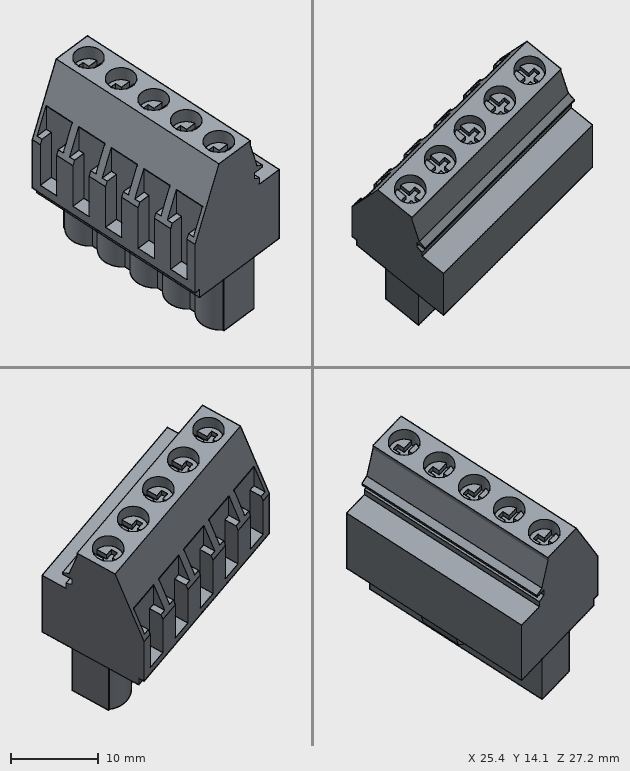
import cadquery as cq


POLES = 5
LENGTH = 25.4
PITCH = LENGTH / POLES
POLE_CENTRES = [(i - (POLES - 1) / 2) * PITCH for i in range(POLES)]

DEPTH = 14.1
HEIGHT = 27.2
BASE_Z = 8.38
STEP_Y = 0.73
STEP_Z = 9.63
SLOPE_Z = 17.27
TOP_FRONT_Y = 4.0
TOP_BACK_Y = 9.25
SHELF_Z = 19.25

REAR_SLOPE_TOP_Z = 26.55
REAR_SLOPE_FOOT_Y = 10.35
REAR_SLOPE_FOOT_Z = 22.45
LIP_Y = 11.25
LIP_TOP_Z = 21.95
LIP_BOTTOM_Z = 21.62
NOTCH_Y = 9.98
NOTCH_BOTTOM_Z = 20.67
NECK_Y = 10.8
NECK_TOP_Z = 20.2

PLUG_HALF_LENGTH = 12.5
PLUG_BACK_Y = 10.06
PLUG_FLAT_Y = 5.03
PLUG_FRONT_Y = 4.08
SOCKET_WIDTH = 4.35

ENTRY_DEPTH = 1.82
ENTRY_TOP_Z = 21.68
ENTRY_SHOULDER_Z = 17.95
ENTRY_BOTTOM_Z = 10.88
ENTRY_WIDE = 4.08
ENTRY_NARROW = 2.53

LATCH_WIDTH = PITCH
LATCH_BACK_Y = 13.45
LATCH_ROOT_Y = 11.37
LATCH_STEM_Y = 11.8
LATCH_STEM_TOP_Z = 7.24
LATCH_STEM_BOTTOM_Z = 5.4
LATCH_BEND = (12.85, 5.17)
LATCH_TIP = (11.42, 3.78)
LATCH_BARB = (11.07, 4.73)
LATCH_BARB_CREST = (11.4, 5.2)
LATCH_STRAIGHT = 0.63

SCREW_Y = 6.7
SCREW_DIAMETER = 3.6
SCREW_RECESS = 1.9
SCREW_LENGTH = 2.72
SCREW_TOP_Z = HEIGHT - SCREW_RECESS
CROSS_DEPTH = 0.82
LONG_SLOT_WIDTH = 0.63
SHORT_SLOT_WIDTH = 0.82
SHORT_SLOT_LENGTH = 2.48


def box(x_size, y_range, z_range, x_centre=0.0):
    """Block centred on x_centre that spans the given Y and Z ranges."""
    y_size = y_range[1] - y_range[0]
    z_size = z_range[1] - z_range[0]
    corner = (x_centre - x_size / 2, y_range[0], z_range[0])
    return cq.Workplane("XY").box(x_size, y_size, z_size, centered=False).translate(corner)


def housing_body():
    """Main profile, with the retaining lip and notch on its back, run along the whole row."""
    profile = [
        (STEP_Y, BASE_Z),
        (STEP_Y, STEP_Z),
        (0, STEP_Z),
        (0, SLOPE_Z),
        (TOP_FRONT_Y, HEIGHT),
        (TOP_BACK_Y, HEIGHT),
        (TOP_BACK_Y, REAR_SLOPE_TOP_Z),
        (REAR_SLOPE_FOOT_Y, REAR_SLOPE_FOOT_Z),
        (LIP_Y, LIP_TOP_Z),
        (LIP_Y, LIP_BOTTOM_Z),
        (NOTCH_Y, LIP_BOTTOM_Z),
        (NOTCH_Y, NOTCH_BOTTOM_Z),
        (NECK_Y, NECK_TOP_Z),
        (NECK_Y, SHELF_Z),
        (DEPTH, SHELF_Z),
        (DEPTH, BASE_Z),
    ]
    return cq.Workplane("YZ").polyline(profile).close().extrude(LENGTH / 2, both=True)


def plug():
    """Plug with one rounded socket front for each pole."""
    half_socket = SOCKET_WIDTH / 2
    outline = cq.Workplane("XY").moveTo(-PLUG_HALF_LENGTH, PLUG_BACK_Y)
    outline = outline.lineTo(-PLUG_HALF_LENGTH, PLUG_FLAT_Y)
    for x in POLE_CENTRES:
        outline = outline.lineTo(x - half_socket, PLUG_FLAT_Y)
        outline = outline.threePointArc((x, PLUG_FRONT_Y), (x + half_socket, PLUG_FLAT_Y))
    outline = outline.lineTo(PLUG_HALF_LENGTH, PLUG_FLAT_Y).lineTo(PLUG_HALF_LENGTH, PLUG_BACK_Y)
    return outline.close().extrude(BASE_Z)


def latch():
    """Hook that hangs from the underside behind the plug, at the middle of the row."""
    return (
        cq.Workplane("YZ")
        .moveTo(LATCH_BACK_Y, BASE_Z)
        .lineTo(LATCH_BACK_Y, BASE_Z - LATCH_STRAIGHT)
        .lineTo(*LATCH_BEND)
        .lineTo(*LATCH_TIP)
        .lineTo(*LATCH_BARB)
        .threePointArc(LATCH_BARB_CREST, (LATCH_STEM_Y, LATCH_STEM_BOTTOM_Z))
        .lineTo(LATCH_STEM_Y, LATCH_STEM_TOP_Z)
        .lineTo(LATCH_ROOT_Y, BASE_Z)
        .close()
        .extrude(LATCH_WIDTH / 2, both=True)
    )


def wire_entry(x):
    """T-shaped front pocket: wide above the shoulders, narrow below."""
    y_range = (0, ENTRY_DEPTH)
    wide = box(ENTRY_WIDE, y_range, (ENTRY_SHOULDER_Z, ENTRY_TOP_Z), x)
    narrow = box(ENTRY_NARROW, y_range, (ENTRY_BOTTOM_Z, ENTRY_TOP_Z), x)
    return wide.union(narrow)


def screw_cylinder(x, top_z):
    """Cylinder on a screw axis, from the screw's lower end up to top_z."""
    bottom_z = SCREW_TOP_Z - SCREW_LENGTH
    base = cq.Workplane("XY", origin=(x, SCREW_Y, bottom_z))
    return base.circle(SCREW_DIAMETER / 2).extrude(top_z - bottom_z)


def make_housing():
    housing = housing_body().union(plug()).union(latch())
    for x in POLE_CENTRES:
        housing = housing.cut(wire_entry(x))
        housing = housing.cut(screw_cylinder(x, HEIGHT))
    return housing


def make_screw(x):
    """Cylindrical screw with a cross recess in its top."""
    z_range = (SCREW_TOP_Z - CROSS_DEPTH, SCREW_TOP_Z)
    screw_radius = SCREW_DIAMETER / 2
    half_width = SHORT_SLOT_WIDTH / 2
    long_slot = box(LONG_SLOT_WIDTH, (SCREW_Y - screw_radius, SCREW_Y + screw_radius), z_range, x)
    short_slot = box(SHORT_SLOT_LENGTH, (SCREW_Y - half_width, SCREW_Y + half_width), z_range, x)
    return screw_cylinder(x, SCREW_TOP_Z).cut(long_slot).cut(short_slot)


housing = make_housing()
screws = [make_screw(x) for x in POLE_CENTRES]

result = cq.Compound.makeCompound([housing.val(), *[screw.val() for screw in screws]])